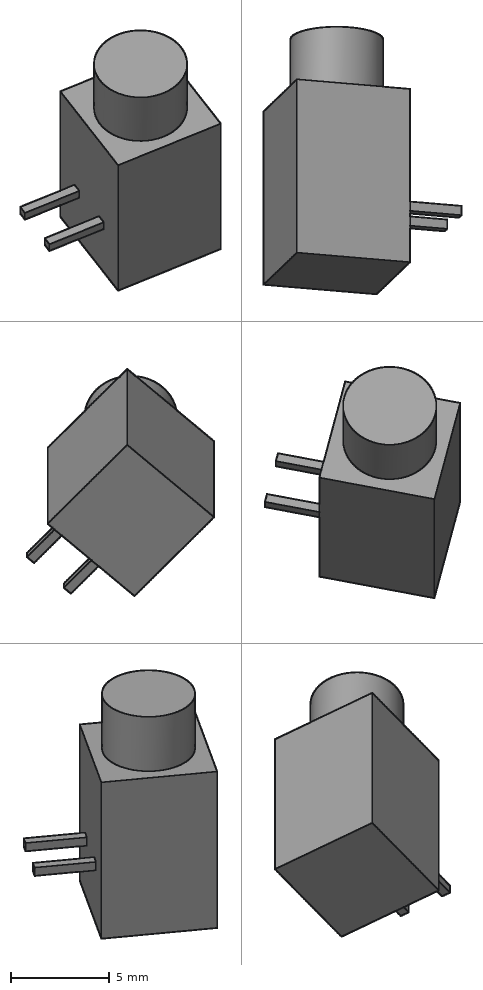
import cadquery as cq

body_width = 6.0
total_height = 12.4
lens_height = 3.2
lens_diameter = 4.75
body_height = total_height - lens_height

total_depth = 9.18
pin_length = total_depth - body_width
pin_size = 0.5
pin_spacing = 2.54
pin_center_height = 3.43


def make_pin(x_center):
    """Square pin that starts on the -Y face and points toward -Y."""
    return (
        cq.Workplane("XZ", origin=(x_center, -body_width / 2, pin_center_height))
        .rect(pin_size, pin_size)
        .extrude(pin_length)
    )


body = cq.Workplane("XY").rect(body_width, body_width).extrude(body_height)

lens = (
    cq.Workplane("XY", origin=(0, 0, body_height))
    .circle(lens_diameter / 2)
    .extrude(lens_height)
)

result = body.union(lens)
for side in (-1, 1):
    result = result.union(make_pin(side * pin_spacing / 2))